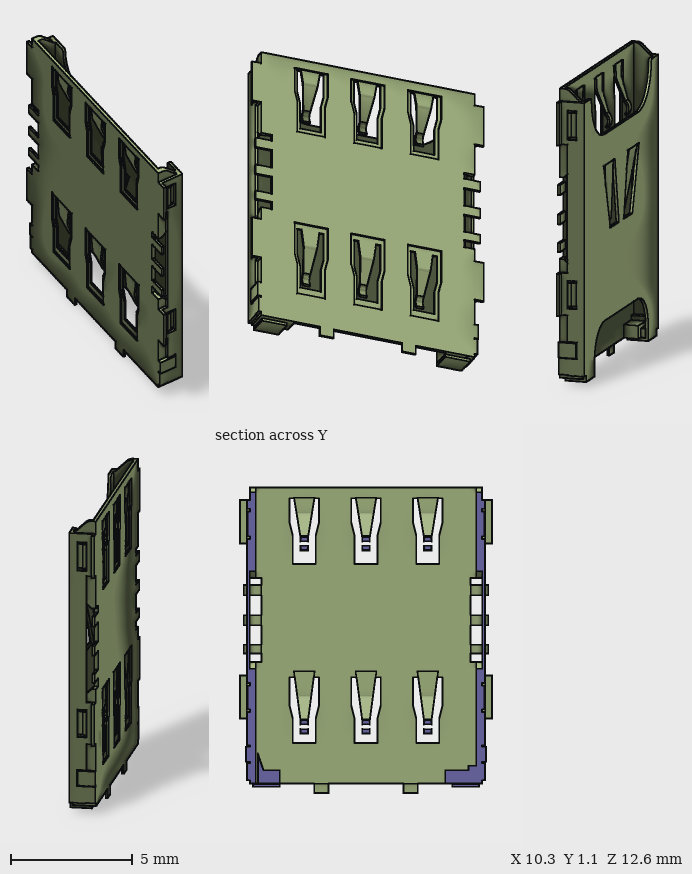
import cadquery as cq
import math

HEIGHT = 12.55
WIDTH = 10.35
DEPTH = 1.1
SHEET = 0.12
TRAY_HALF = 4.77
COVER_HALF = TRAY_HALF + SHEET
COVER_INSIDE = DEPTH - SHEET
FLOOR = 0.15
TRAY_BOTTOM = 0.39


def block(x0, x1, y0, y1, z0, z1):
    """Box between two limits along each axis."""
    corner_box = cq.Workplane("XY").box(x1 - x0, y1 - y0, z1 - z0, centered=False)
    return corner_box.translate((x0, y0, z0))


def both_sides(body):
    """The body and its mirror image across the YZ plane."""
    return body.union(body.mirror("YZ"))


def front_prism(points, y0, y1):
    """Closed XZ outline extruded from y0 back to y1."""
    outline = cq.Workplane("XZ", origin=(0, y0, 0)).polyline(points).close()
    return outline.extrude(y0 - y1)


def nearest(x, y, z):
    """Selector for the edge whose middle is closest to a point."""
    return cq.selectors.NearestToPointSelector((x, y, z))


RAIL_INNER = 4.52
RAIL_NOSE_Y = 0.35
RAIL_NOSE_RADIUS = 0.38
RAIL_SLOPE_Y = 0.9
RAIL_SLOPE_DROP = HEIGHT - 12.04
RAIL_GAP_BOTTOM = 5.38
RAIL_GAP_TOP = 8.82
RAIL_GAP_BEVEL = 0.28
BEVEL_START_Y = 0.19
NOTCH_INNER = 4.29
RIB_REACH = 5.02
RIB_THICK = 0.1
RIBS = [(5.72, 6.1), (6.89, 7.3), (8.12, 8.55)]
FOOT_BOTTOM = 0.55
FOOT_TOP = 1.24
FOOT_DEPTH = 0.38
LATCH_BOTTOM = 1.28
LATCH_TOP = 1.91
LATCH_DEPTH = 0.74
LATCH_REACH = 4.93
LATCH_GAP = 0.04
TAIL_OUTER = 2.13
TAIL_WIDTH = 0.6
TAIL_THICK = 0.09


def make_rail():
    """Left rail with a sloping upper end and a flared opening half way up."""
    rail = (
        cq.Workplane("YZ", origin=(-TRAY_HALF, 0, 0))
        .moveTo(0, TRAY_BOTTOM)
        .lineTo(COVER_INSIDE, TRAY_BOTTOM)
        .lineTo(COVER_INSIDE, HEIGHT - RAIL_SLOPE_DROP)
        .lineTo(RAIL_SLOPE_Y, HEIGHT - RAIL_SLOPE_DROP)
        .lineTo(RAIL_NOSE_Y, HEIGHT)
        .lineTo(0, HEIGHT)
        .close()
        .extrude(TRAY_HALF - RAIL_INNER)
    )
    nose = nearest(-(TRAY_HALF + RAIL_INNER) / 2, RAIL_NOSE_Y, HEIGHT)
    rail = rail.edges(nose).fillet(RAIL_NOSE_RADIUS)
    flare_end = BEVEL_START_Y + RAIL_GAP_BEVEL
    gap = (
        cq.Workplane("YZ", origin=(-TRAY_HALF, 0, 0))
        .moveTo(0, RAIL_GAP_BOTTOM)
        .lineTo(BEVEL_START_Y, RAIL_GAP_BOTTOM)
        .lineTo(flare_end, RAIL_GAP_BOTTOM - RAIL_GAP_BEVEL)
        .lineTo(COVER_INSIDE, RAIL_GAP_BOTTOM - RAIL_GAP_BEVEL)
        .lineTo(COVER_INSIDE, RAIL_GAP_TOP + RAIL_GAP_BEVEL)
        .lineTo(flare_end, RAIL_GAP_TOP + RAIL_GAP_BEVEL)
        .lineTo(BEVEL_START_Y, RAIL_GAP_TOP)
        .lineTo(0, RAIL_GAP_TOP)
        .close()
        .extrude(TRAY_HALF - RAIL_INNER)
    )
    return rail.cut(gap)


def make_tray():
    floor = block(-TRAY_HALF, TRAY_HALF, 0, FLOOR, TRAY_BOTTOM, HEIGHT)
    notch = block(-TRAY_HALF, -NOTCH_INNER, 0, FLOOR, RAIL_GAP_BOTTOM, RAIL_GAP_TOP)
    tray = floor.cut(both_sides(notch)).union(both_sides(make_rail()))
    side = block(-COVER_HALF, -RAIL_INNER, 0, FOOT_DEPTH, FOOT_BOTTOM, FOOT_TOP)
    side = side.union(block(-LATCH_REACH, -RAIL_INNER, 0, LATCH_DEPTH, LATCH_BOTTOM, LATCH_TOP))
    for bottom, top in RIBS:
        side = side.union(block(-RIB_REACH, -NOTCH_INNER, 0, RIB_THICK, bottom, top))
    side = side.union(
        block(-TAIL_OUTER, TAIL_WIDTH - TAIL_OUTER, 0, TAIL_THICK, 0, TRAY_BOTTOM + SHEET)
    )
    return tray.union(both_sides(side))


STOP_TOP = 1.13
STOP_STEP = 0.94
PAD_TOP = 0.75
LEFT_STOP_INNER = -3.25
LEFT_STOP_EDGE = -4.2
LEFT_PAD_INNER = -3.55
LEFT_STOP_DEPTH = 0.78
RIGHT_STOP_INNER = 3.54
RIGHT_STOP_EDGE = 4.2
RIGHT_STOP_OUTER = 4.44
RIGHT_STOP_PEAK = 1.63


def make_stops():
    """Corner stops on the tray floor; the right one ends in a steep ramp."""
    left = block(-RAIL_INNER, LEFT_STOP_EDGE, FLOOR, LEFT_STOP_DEPTH, TRAY_BOTTOM, STOP_TOP)
    left = left.union(
        block(LEFT_STOP_EDGE, LEFT_STOP_INNER, FLOOR, LEFT_STOP_DEPTH, TRAY_BOTTOM, STOP_STEP)
    )
    left = left.union(
        block(-RAIL_INNER, LEFT_PAD_INNER, LEFT_STOP_DEPTH, COVER_INSIDE, TRAY_BOTTOM, PAD_TOP)
    )
    right_outline = [
        (RIGHT_STOP_INNER, TRAY_BOTTOM),
        (RIGHT_STOP_OUTER, TRAY_BOTTOM),
        (RIGHT_STOP_OUTER, RIGHT_STOP_PEAK),
        (RIGHT_STOP_EDGE, STOP_STEP),
        (RIGHT_STOP_INNER, STOP_STEP),
    ]
    return left.union(front_prism(right_outline, FLOOR, COVER_INSIDE))


COVER_TOP = 12.04
WALL_BOTTOM = 0.53
WALL_FRONT = 0.38
TABS = [(3.06, 4.83), (10.24, COVER_TOP)]
LOWER_LEG_INNER = 3.54
UPPER_LEG_INNER = 3.94
LEG_BOTTOM = 0.25
LEG_OUTER = 4.64
LEG_FRONT = 0.2
LOWER_CUT_TOP = 2.32
UPPER_CUT_BOTTOM = 10.17
LOWER_CUT_RADIUS = 1.38
UPPER_CUT_RADIUS = 1.75
LEG_RADIUS = 0.11
WALL_WINDOWS = [(3.34, 4.52), (10.44, 11.67)]
WINDOW_DEPTH = 0.77
SNAP_MARGIN = 0.1
SNAP_REACH = 0.1
SNAP_CREST = 0.54


def make_cover_sheet():
    sheet = block(-COVER_HALF, COVER_HALF, COVER_INSIDE, DEPTH, WALL_BOTTOM, COVER_TOP)
    leg = block(-LEG_OUTER, -LOWER_LEG_INNER, COVER_INSIDE, DEPTH, LEG_BOTTOM, WALL_BOTTOM)
    leg_end = block(-LEG_OUTER, -LOWER_LEG_INNER, LEG_FRONT, DEPTH, LEG_BOTTOM, LEG_BOTTOM + SHEET)
    lower_cut = (
        block(-LOWER_LEG_INNER, LOWER_LEG_INNER, COVER_INSIDE, DEPTH, -LOWER_CUT_TOP, LOWER_CUT_TOP)
        .edges("|Y and >Z")
        .fillet(LOWER_CUT_RADIUS)
    )
    upper_cut = (
        block(-UPPER_LEG_INNER, UPPER_LEG_INNER, COVER_INSIDE, DEPTH, UPPER_CUT_BOTTOM, COVER_TOP)
        .edges("|Y and <Z")
        .fillet(UPPER_CUT_RADIUS)
    )
    sheet = sheet.cut(lower_cut).cut(upper_cut)
    for side in (-1, 1):
        corner = nearest(side * UPPER_LEG_INNER, DEPTH - SHEET / 2, COVER_TOP)
        sheet = sheet.edges(corner).fillet(LEG_RADIUS)
    return sheet.union(both_sides(leg.union(leg_end)))


def make_cover_wall():
    """Left wall of the cover with its outward tabs, windows and latch opening."""
    wall = block(-COVER_HALF, -TRAY_HALF, WALL_FRONT, DEPTH, WALL_BOTTOM, COVER_TOP)
    for bottom, top in TABS:
        wall = wall.union(block(-COVER_HALF, -TRAY_HALF, 0, WALL_FRONT, bottom, top))
        wall = wall.union(block(-WIDTH / 2, -TRAY_HALF, 0, SHEET, bottom, top))
    wall = wall.cut(block(
        -COVER_HALF, -TRAY_HALF, WALL_FRONT, LATCH_DEPTH + LATCH_GAP,
        LATCH_BOTTOM - LATCH_GAP, LATCH_TOP + LATCH_GAP,
    ))
    for bottom, top in WALL_WINDOWS:
        wall = wall.cut(block(-COVER_HALF, -TRAY_HALF, WALL_FRONT, WINDOW_DEPTH, bottom, top))
        snap = (
            cq.Workplane("XY", origin=(0, 0, bottom + SNAP_MARGIN))
            .moveTo(-TRAY_HALF, WALL_FRONT)
            .lineTo(-TRAY_HALF - SNAP_REACH, WALL_FRONT)
            .lineTo(-TRAY_HALF - SNAP_REACH, SNAP_CREST)
            .lineTo(-TRAY_HALF, WINDOW_DEPTH)
            .close()
            .extrude(top - bottom - 2 * SNAP_MARGIN)
        )
        wall = wall.union(snap)
    return wall


SPRING_ROOT_Z = 8.85
SPRING_TIP_Z = 6.28
SPRING_ROOT_INNER = 1.05
SPRING_ROOT_OUTER = 2.13
SPRING_TIP_INNER = 0.51
SPRING_TIP_OUTER = 1.25
SPRING_TIP_Y = 0.72
SPRING_GAP = 0.2
SPRING_OVERLAP = 0.01


def make_spring():
    """Right leaf spring, bent in from the cover and leaning to the middle."""
    root_z = SPRING_ROOT_Z + SPRING_OVERLAP
    root = cq.Workplane("XY", origin=(0, 0, root_z)).polyline([
        (SPRING_ROOT_INNER, COVER_INSIDE),
        (SPRING_ROOT_OUTER, COVER_INSIDE),
        (SPRING_ROOT_OUTER, DEPTH),
        (SPRING_ROOT_INNER, DEPTH),
    ]).close()
    tip_loop = root.workplane(offset=SPRING_TIP_Z - root_z).polyline([
        (SPRING_TIP_INNER, SPRING_TIP_Y),
        (SPRING_TIP_OUTER, SPRING_TIP_Y),
        (SPRING_TIP_OUTER, SPRING_TIP_Y + SHEET),
        (SPRING_TIP_INNER, SPRING_TIP_Y + SHEET),
    ]).close()
    return tip_loop.loft(ruled=True)


def make_spring_opening():
    """Slanted opening in the cover around the right spring."""
    outline = [
        (SPRING_ROOT_INNER - SPRING_GAP, SPRING_ROOT_Z),
        (SPRING_ROOT_OUTER + SPRING_GAP, SPRING_ROOT_Z),
        (SPRING_TIP_OUTER + SPRING_GAP, SPRING_TIP_Z - SPRING_GAP),
        (SPRING_TIP_INNER - SPRING_GAP, SPRING_TIP_Z - SPRING_GAP),
    ]
    return front_prism(outline, COVER_INSIDE, DEPTH)


COLUMN_PITCH = 2.54
ROW_PITCH = 7.52
UPPER_SHOULDER = 11.1
SHOULDER_DROP = 0.5
NARROWING = 0.13
POCKET_HALF = 0.75
WINDOW_HALF = 1.19 / 2
POCKET_DEPTH = 0.08
CONTACT_THICK = 0.09
CONTACT_ROOT_HALF = 0.43
CONTACT_TIP_HALF = 0.31 / 2
BEND_Z = 11.52
BEND_RADIUS = 0.38
CURL_Z = 10.24
CURL_RADIUS = 0.33
CROWN_Y = 0.65
CURL_START = math.radians(50)
CURL_END = math.radians(-45)
ROWS = [
    (0, 12.14, 9.2, 12.1, 9.41),
    (ROW_PITCH, 5.0, 1.73, 4.76, 2.06),
]


def window_cut(x, half, top, bottom, shoulder, y0, y1):
    """Window that narrows below its shoulders, centred on x."""
    narrow = half - NARROWING
    neck = shoulder - SHOULDER_DROP
    return front_prism([
        (x - half, top), (x + half, top),
        (x + half, shoulder), (x + narrow, neck),
        (x + narrow, bottom), (x - narrow, bottom),
        (x - narrow, neck), (x - half, shoulder),
    ], y0, y1)


def make_contact(x, drop, top):
    """Tapered contact finger: flat root, sloping arm and curled tip."""
    outer_radius = CURL_RADIUS + CONTACT_THICK
    center_y = CROWN_Y - outer_radius
    back = POCKET_DEPTH + CONTACT_THICK
    bend = BEND_Z - drop

    def on_curl(radius, angle):
        return (center_y + radius * math.cos(angle), CURL_Z - drop + radius * math.sin(angle))

    strip = (
        cq.Workplane("YZ", origin=(x - CONTACT_ROOT_HALF, 0, 0))
        .moveTo(POCKET_DEPTH, top)
        .lineTo(POCKET_DEPTH, bend)
        .lineTo(*on_curl(CURL_RADIUS, CURL_START))
        .threePointArc(on_curl(CURL_RADIUS, 0), on_curl(CURL_RADIUS, CURL_END))
        .lineTo(*on_curl(outer_radius, CURL_END))
        .threePointArc(on_curl(outer_radius, 0), on_curl(outer_radius, CURL_START))
        .lineTo(back, bend)
        .lineTo(back, top)
        .close()
        .extrude(2 * CONTACT_ROOT_HALF)
    )
    strip = strip.edges(nearest(x, POCKET_DEPTH, bend)).fillet(BEND_RADIUS)
    strip = strip.edges(nearest(x, back, bend)).fillet(BEND_RADIUS - CONTACT_THICK)
    taper_end = on_curl(CURL_RADIUS, CURL_START)[1]
    tip_z = taper_end - 2 * outer_radius
    plan = front_prism([
        (x - CONTACT_ROOT_HALF, top), (x + CONTACT_ROOT_HALF, top),
        (x + CONTACT_TIP_HALF, taper_end), (x + CONTACT_TIP_HALF, tip_z),
        (x - CONTACT_TIP_HALF, tip_z), (x - CONTACT_TIP_HALF, taper_end),
    ], 0, DEPTH)
    return strip.intersect(plan)


result = make_tray().union(make_stops())
cover = make_cover_sheet().union(both_sides(make_cover_wall()))
cover = cover.cut(both_sides(make_spring_opening())).union(both_sides(make_spring()))
result = result.union(cover)

for drop, pocket_top, pocket_bottom, window_top, window_bottom in ROWS:
    shoulder = UPPER_SHOULDER - drop
    for column in (-1, 0, 1):
        x = column * COLUMN_PITCH
        pocket = window_cut(x, POCKET_HALF, pocket_top, pocket_bottom, shoulder, 0, POCKET_DEPTH)
        window = window_cut(x, WINDOW_HALF, window_top, window_bottom, shoulder, 0, FLOOR)
        result = result.cut(pocket).cut(window).union(make_contact(x, drop, pocket_top))